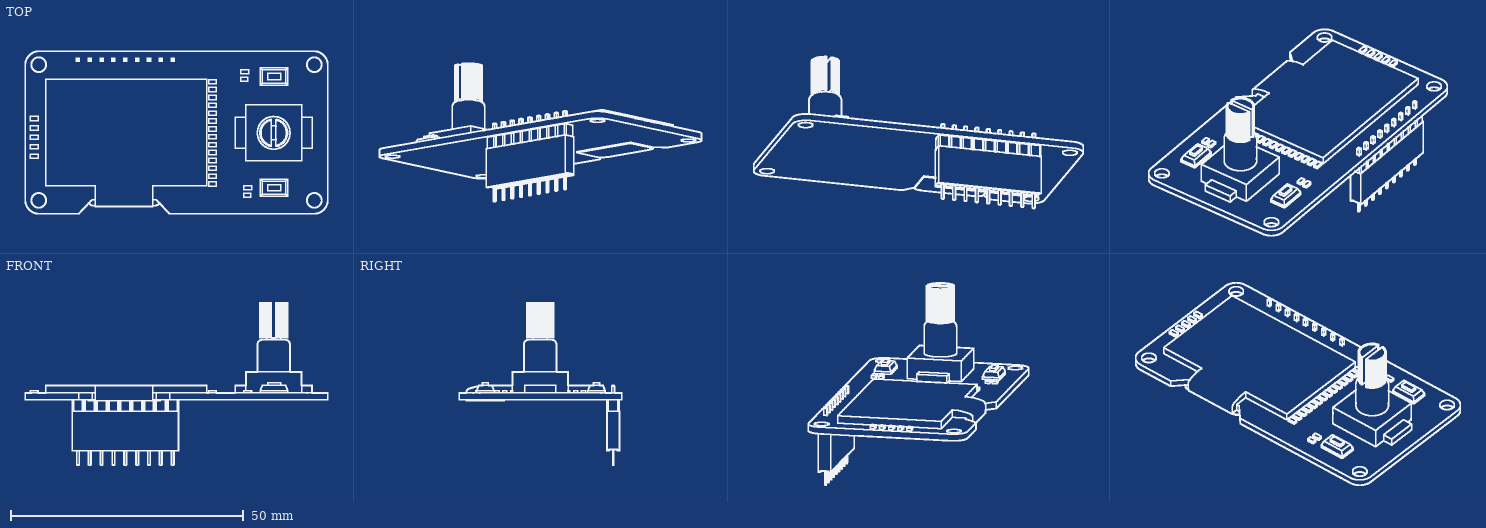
import cadquery as cq
import math


board_length = 65.0
board_width = 35.0
board_thickness = 1.5
corner_radius = 3.05
mount_hole_diameter = 3.1
mount_hole_inset = 2.9
overlap = 0.05

ribbon_x = -11.25
notch_outer_width = 19.5
notch_inner_width = 13.8
notch_depth = 3.05

display_length = 34.6
display_width = 22.8
display_height = 1.6
display_x = -10.8
ribbon_width = 12.35
ribbon_flat = 0.4
ribbon_front_y = -15.9
tail_width = 15.5
tail_thickness = 0.23
tail_back_y = -7.8
tail_front_y = -15.7
tail_corner_radius = 1.2

encoder_x = 20.85
encoder_y = -0.05
encoder_side = 11.95
encoder_height = 4.55
tab_span = 16.5
tab_width = 6.6
tab_height = 1.6
bushing_diameter = 7.0
bushing_top = 11.45
bushing_fillet = 1.05
neck_diameter = 3.05
knurl_bottom = 11.8
shaft_top = 19.4
knurl_diameter = 6.0
knurl_depth = 0.25
knurl_teeth = 60
slot_width = 1.0

button_x = 20.9
button_ys = (12.0, -11.8)
button_length = 5.9
button_width = 3.7
button_step = 0.5
button_height = 1.6
button_taper_inset = 0.45
plunger_length = 2.8
plunger_width = 1.3
plunger_top = 2.2

chip_length = 1.7
chip_short_length = 1.5
chip_width = 0.9
chip_height = 0.5
left_chip_x = -30.55
left_chip_count = 5
left_chip_pitch = 2.0
left_chip_centre_y = -1.05
right_chip_x = 7.75
right_chip_count = 14
right_chip_pitch = 1.7
right_chip_centre_y = -0.05
chip_pairs = ((13.8, 13.05), (14.4, -11.8))
chip_pair_pitch = 1.6

pin_count = 9
header_length = 22.9
header_x = -11.0
header_y = 15.6
pin_pitch = header_length / pin_count
strip_width = 2.65
strip_height = 2.5
strip_chamfer = 0.3
pin_side = 0.65
pin_tip_chamfer = 0.16
pin_rise = 1.6
socket_width = 2.7
socket_bottom = -10.9
socket_groove_width = 1.75
socket_groove_depth = 0.25
tail_pin_width = 0.6
tail_pin_thickness = 0.2
tail_pin_bottom = -14.05
tail_pin_chamfer = 0.16

pin_points = [
    (header_x + (i - (pin_count - 1) / 2) * pin_pitch, header_y) for i in range(pin_count)
]


def block(length, width, bottom, top, x, y):
    """Box centred on (x, y) that spans the heights bottom to top."""
    return (
        cq.Workplane("XY")
        .box(length, width, top - bottom, centered=(True, True, False))
        .translate((x, y, bottom))
    )


def cylinder(diameter, bottom, top, x, y):
    """Upright cylinder centred on (x, y)."""
    return cq.Workplane("XY", origin=(x, y, bottom)).circle(diameter / 2).extrude(top - bottom)


def on_board(length, width, height, x, y):
    """Box that stands on the board's top face."""
    return block(length, width, board_thickness - overlap, board_thickness + height, x, y)


def make_bare_board():
    board = block(board_length, board_width, 0, board_thickness, 0, 0)
    board = board.edges("|Z").fillet(corner_radius)
    mount_holes = (
        cq.Workplane("XY")
        .rect(board_length - 2 * mount_hole_inset, board_width - 2 * mount_hole_inset,
              forConstruction=True)
        .vertices()
        .circle(mount_hole_diameter / 2)
        .extrude(board_thickness)
    )
    front_y = -board_width / 2
    notch = (
        cq.Workplane("XY")
        .polyline([
            (ribbon_x - notch_outer_width / 2, front_y),
            (ribbon_x - notch_inner_width / 2, front_y + notch_depth),
            (ribbon_x + notch_inner_width / 2, front_y + notch_depth),
            (ribbon_x + notch_outer_width / 2, front_y),
        ])
        .close()
        .extrude(board_thickness)
    )
    pin_holes = cq.Workplane("XY").pushPoints(pin_points).rect(pin_side, pin_side).extrude(board_thickness)
    return board.cut(mount_holes).cut(notch).cut(pin_holes)


def make_display():
    return on_board(display_length, display_width, display_height, display_x, 0)


def make_ribbon():
    """Ribbon that leaves the display, rounds over through the notch and ends under the board."""
    display_front_y = -display_width / 2
    bend_start_y = display_front_y - ribbon_flat
    bend_depth = bend_start_y - ribbon_front_y
    display_top = board_thickness + display_height
    bend_middle = (
        bend_start_y - bend_depth * math.sin(math.pi / 4),
        board_thickness + display_height * math.cos(math.pi / 4),
    )
    notch_back_y = -board_width / 2 + notch_depth
    fold = (
        cq.Workplane("YZ", origin=(ribbon_x - ribbon_width / 2, 0, 0))
        .moveTo(display_front_y + overlap, board_thickness)
        .lineTo(display_front_y + overlap, display_top)
        .lineTo(bend_start_y, display_top)
        .spline([bend_middle, (ribbon_front_y, board_thickness)],
                tangents=[(-1, 0), (0, -1)], includeCurrent=True)
        .lineTo(ribbon_front_y, -tail_thickness)
        .lineTo(notch_back_y, -tail_thickness)
        .lineTo(notch_back_y, board_thickness)
        .close()
        .extrude(ribbon_width)
    )
    tail = block(tail_width, tail_back_y - tail_front_y, -tail_thickness, 0,
                 ribbon_x, (tail_back_y + tail_front_y) / 2)
    tail = tail.edges("|Z and <Y").fillet(tail_corner_radius)
    return fold.union(tail)


def make_knurl():
    """Serrated shaft end, split across its full height by a screwdriver slot along Y."""
    bottom = board_thickness + knurl_bottom
    top = board_thickness + shaft_top
    outer_radius = knurl_diameter / 2
    radii = (outer_radius, outer_radius - knurl_depth)
    outline = []
    for i in range(2 * knurl_teeth):
        angle = math.pi * i / knurl_teeth
        radius = radii[i % 2]
        outline.append((radius * math.cos(angle), radius * math.sin(angle)))
    knurl = (
        cq.Workplane("XY", origin=(encoder_x, encoder_y, bottom))
        .polyline(outline)
        .close()
        .extrude(top - bottom)
    )
    return knurl.cut(block(slot_width, knurl_diameter, bottom, top, encoder_x, encoder_y))


def make_encoder():
    body = on_board(encoder_side, encoder_side, encoder_height, encoder_x, encoder_y)
    tabs = on_board(tab_span, tab_width, tab_height, encoder_x, encoder_y)
    bushing_base = board_thickness + encoder_height - overlap
    bushing = cylinder(bushing_diameter, bushing_base, board_thickness + bushing_top, encoder_x, encoder_y)
    bushing = bushing.faces(">Z").edges().fillet(bushing_fillet)
    neck = cylinder(neck_diameter, bushing_base, board_thickness + knurl_bottom, encoder_x, encoder_y)
    return body.union(tabs).union(bushing).union(neck).union(make_knurl())


def make_button(y):
    step_top = board_thickness + button_step
    base = on_board(button_length, button_width, button_step, button_x, y)
    cap = (
        cq.Workplane("XY", origin=(button_x, y, step_top))
        .rect(button_length, button_width)
        .workplane(offset=button_height - button_step)
        .rect(button_length - 2 * button_taper_inset, button_width - 2 * button_taper_inset)
        .loft()
    )
    plunger = block(plunger_length, plunger_width, step_top, board_thickness + plunger_top, button_x, y)
    return base.union(cap).union(plunger)


def make_chip(x, y, length=chip_length):
    return on_board(length, chip_width, chip_height, x, y)


def make_chips():
    chips = []
    for i in range(left_chip_count):
        y = left_chip_centre_y + (i - (left_chip_count - 1) / 2) * left_chip_pitch
        chips.append(make_chip(left_chip_x, y))
    for i in range(right_chip_count):
        y = right_chip_centre_y + (i - (right_chip_count - 1) / 2) * right_chip_pitch
        chips.append(make_chip(right_chip_x, y))
    for left_end, y in chip_pairs:
        chips.append(make_chip(left_end + chip_length / 2, y))
        chips.append(make_chip(left_end + chip_short_length / 2, y - chip_pair_pitch, chip_short_length))
    return chips


def make_board_assembly():
    """Circuit board with every soldered component."""
    parts = [make_display(), make_ribbon(), make_encoder()]
    parts += [make_button(y) for y in button_ys]
    parts += make_chips()
    assembly = make_bare_board()
    for part in parts:
        assembly = assembly.union(part)
    return assembly


def make_pin_header():
    """Strip of chamfered cells under the board, each with a pin up through the board."""
    header = None
    for x, y in pin_points:
        cell = block(pin_pitch, strip_width, -strip_height, 0, x, y)
        cell = cell.edges("|Z").chamfer(strip_chamfer)
        pin = block(pin_side, pin_side, -overlap, board_thickness + pin_rise, x, y)
        pin = pin.faces(">Z").chamfer(pin_tip_chamfer)
        header = cell if header is None else header.union(cell)
        header = header.union(pin)
    return header


def make_socket():
    """Socket block below the pin header, with a grooved underside and flat tail pins."""
    socket = block(header_length, socket_width, socket_bottom, -strip_height, header_x, header_y)
    groove_top = socket_bottom + socket_groove_depth
    groove = block(header_length, socket_groove_width, socket_bottom, groove_top, header_x, header_y)
    socket = socket.cut(groove)
    for x, y in pin_points:
        pin = block(tail_pin_width, tail_pin_thickness, tail_pin_bottom, groove_top + overlap, x, y)
        pin = pin.edges("|Y and <Z").chamfer(tail_pin_chamfer)
        socket = socket.union(pin)
    return socket


board_assembly = make_board_assembly()
pin_header = make_pin_header()
socket = make_socket()

result = cq.Compound.makeCompound([board_assembly.val(), pin_header.val(), socket.val()])